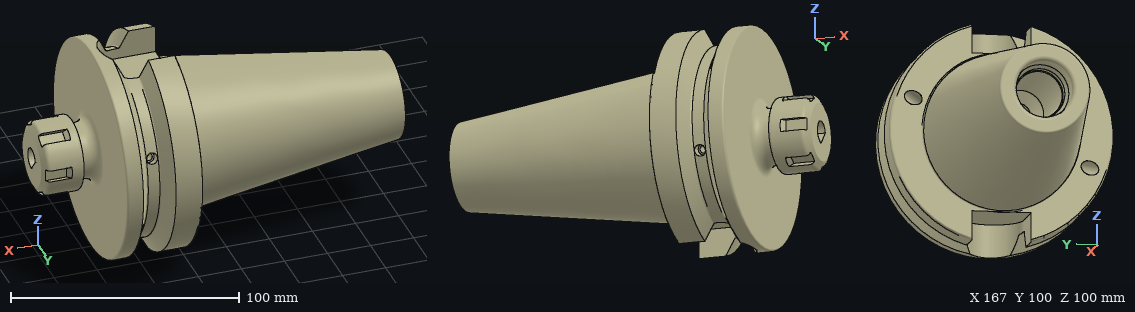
import cadquery as cq
import math

TOTAL_LENGTH = 167.0

TAPER_LENGTH = 102.2
TAPER_SMALL_RADIUS = 20.0
TAPER_LARGE_RADIUS = 34.9
SMALL_END_ROUND = 1.0
LAND_ROUND = 0.7

FLANGE_BACK = 104.7
FLANGE_FRONT = 139.8
FLANGE_DIAMETER = 100.0
FLANGE_RADIUS = FLANGE_DIAMETER / 2
FLANGE_ROUND = 1.0
GROOVE_FLOOR_RADIUS = 42.5
GROOVE_CENTRE = 124.9
GROOVE_FLOOR_WIDTH = 6.3
GROOVE_SIDE_ANGLE = 30.0
GROOVE_CORNER_ROUND = 0.8

KEYWAY_WIDTH = 26.4
KEYWAY_FLOOR = 35.2
KEYWAY_END = 136.0

SPIGOT_RADIUS = 12.5
SPIGOT_ROUND = 5.0
SPIGOT_END = 162.0

MOUTH_ROUND = 1.8
COUNTERBORE_RADIUS = 12.5
COUNTERBORE_DEPTH = 10.4
THREAD_MOUTH_RADIUS = 11.0
THREAD_MOUTH_END = 15.9
STUD_BORE_RADIUS = 10.5
STUD_BORE_DEPTH = 60.1
DRILL_POINT_ANGLE = 118.0
THROUGH_BORE_RADIUS = 5.2

COOLANT_RADIUS = 3.0
COOLANT_ENTRY_RADIUS = 42.0
COOLANT_SLANT = 42.0
COOLANT_TURN = 20.0
PLUG_RADIUS = 2.5
PLUG_DEPTH = 5.0
PLUG_CORE_RADIUS = 1.7

NUT_BACK = 148.1
NUT_RADIUS = 17.0
NUT_BACK_ROUND = 1.5
NUT_NOSE_START = 164.7
NUT_NOSE_ANGLE = 60.0
NUT_NOSE_ROUND = 2.0
NUT_FACE_ROUND = 0.5
NUT_OPENING_RADIUS = 5.0
NUT_FLAT_DISTANCE = 3.0
NUT_FLAT_TURN = -42.0

SLOT_COUNT = 6
SLOT_WIDTH = 5.5
SLOT_FLOOR = 15.0
SLOT_START = 154.0
LONG_SLOT_START = 152.5
LONG_SLOT_TURNS = (60, 120)


def revolve_about_x(points):
    """Solid of revolution about X from (x, radius) points."""
    return cq.Workplane("XZ").polyline(points).close().revolve(360, (0, 0), (1, 0))


def turn_about_x(body, degrees):
    """Turn a body about X; 0 degrees is +Y and 90 degrees is +Z."""
    return body.rotate((0, 0, 0), (1, 0, 0), degrees)


def round_rim(body, x, radius, size):
    """Fillet the circular edge of the given radius that lies at x."""
    tolerance = 0.02
    rims = [
        edge
        for edge in body.edges("%CIRCLE").vals()
        if abs(edge.Center().x - x) < tolerance and abs(edge.radius() - radius) < tolerance
    ]
    return body.newObject(rims).fillet(size)


def make_holder_blank():
    half_floor = GROOVE_FLOOR_WIDTH / 2
    side_run = (FLANGE_RADIUS - GROOVE_FLOOR_RADIUS) * math.tan(math.radians(GROOVE_SIDE_ANGLE))
    blank = revolve_about_x([
        (0, 0),
        (0, TAPER_SMALL_RADIUS),
        (TAPER_LENGTH, TAPER_LARGE_RADIUS),
        (FLANGE_BACK, TAPER_LARGE_RADIUS),
        (FLANGE_BACK, FLANGE_RADIUS),
        (GROOVE_CENTRE - half_floor - side_run, FLANGE_RADIUS),
        (GROOVE_CENTRE - half_floor, GROOVE_FLOOR_RADIUS),
        (GROOVE_CENTRE + half_floor, GROOVE_FLOOR_RADIUS),
        (GROOVE_CENTRE + half_floor + side_run, FLANGE_RADIUS),
        (FLANGE_FRONT, FLANGE_RADIUS),
        (FLANGE_FRONT, SPIGOT_RADIUS),
        (SPIGOT_END, SPIGOT_RADIUS),
        (SPIGOT_END, 0),
    ])
    blank = round_rim(blank, 0, TAPER_SMALL_RADIUS, SMALL_END_ROUND)
    blank = round_rim(blank, FLANGE_BACK, TAPER_LARGE_RADIUS, LAND_ROUND)
    blank = round_rim(blank, FLANGE_FRONT, SPIGOT_RADIUS, SPIGOT_ROUND)
    for face_x in (FLANGE_BACK, FLANGE_FRONT):
        blank = round_rim(blank, face_x, FLANGE_RADIUS, FLANGE_ROUND)
    for side in (-1, 1):
        corner_x = GROOVE_CENTRE + side * half_floor
        blank = round_rim(blank, corner_x, GROOVE_FLOOR_RADIUS, GROOVE_CORNER_ROUND)
    return blank


def make_bore():
    chamfer_end = COUNTERBORE_DEPTH + COUNTERBORE_RADIUS - THREAD_MOUTH_RADIUS
    point_length = (STUD_BORE_RADIUS - THROUGH_BORE_RADIUS) / math.tan(math.radians(DRILL_POINT_ANGLE / 2))
    return revolve_about_x([
        (0, 0),
        (0, COUNTERBORE_RADIUS),
        (COUNTERBORE_DEPTH, COUNTERBORE_RADIUS),
        (chamfer_end, THREAD_MOUTH_RADIUS),
        (THREAD_MOUTH_END, THREAD_MOUTH_RADIUS),
        (THREAD_MOUTH_END, STUD_BORE_RADIUS),
        (STUD_BORE_DEPTH, STUD_BORE_RADIUS),
        (STUD_BORE_DEPTH + point_length, THROUGH_BORE_RADIUS),
        (SPIGOT_END, THROUGH_BORE_RADIUS),
        (SPIGOT_END, 0),
    ])


def make_keyway():
    """Keyway cutter on the +Z side."""
    half_width = KEYWAY_WIDTH / 2
    round_centre = KEYWAY_END - half_width
    return (
        cq.Workplane("XY", origin=(0, 0, KEYWAY_FLOOR))
        .moveTo(FLANGE_BACK, -half_width)
        .lineTo(round_centre, -half_width)
        .threePointArc((KEYWAY_END, 0), (round_centre, half_width))
        .lineTo(FLANGE_BACK, half_width)
        .close()
        .extrude(FLANGE_RADIUS - KEYWAY_FLOOR)
    )


def make_coolant_passage():
    """Slanted hole from the flange back to the axis, plus its plug hole, on the +Y side."""
    slant = math.radians(COOLANT_SLANT)
    inward = cq.Vector(math.cos(slant), -math.sin(slant), 0)
    entry = cq.Vector(FLANGE_BACK, COOLANT_ENTRY_RADIUS, 0)
    overrun = 3 * COOLANT_RADIUS
    length = COOLANT_ENTRY_RADIUS / math.sin(slant)
    slanted = cq.Solid.makeCylinder(COOLANT_RADIUS, length + overrun, entry - inward * overrun, inward)
    flange_back_plane = cq.Workplane("YZ", origin=(FLANGE_BACK, 0, 0))
    keep = flange_back_plane.circle(FLANGE_RADIUS).extrude(SPIGOT_END - FLANGE_BACK)
    slanted = cq.Workplane(slanted).intersect(keep)

    meeting_radius = COOLANT_ENTRY_RADIUS - (GROOVE_CENTRE - FLANGE_BACK) * math.tan(slant)
    plug = cq.Workplane("XZ", origin=(GROOVE_CENTRE, GROOVE_FLOOR_RADIUS, 0))
    core = plug.circle(PLUG_CORE_RADIUS).extrude(GROOVE_FLOOR_RADIUS - meeting_radius)
    return slanted.union(core).union(plug.circle(PLUG_RADIUS).extrude(PLUG_DEPTH))


def make_holder():
    holder = make_holder_blank().cut(make_bore())
    holder = round_rim(holder, 0, COUNTERBORE_RADIUS, MOUTH_ROUND)
    for turn in (0, 180):
        holder = holder.cut(turn_about_x(make_keyway(), turn))
        holder = holder.cut(turn_about_x(make_coolant_passage(), COOLANT_TURN + turn))
    return holder


def make_spanner_slot(start):
    """Slot cutter on the +Y side."""
    depth = NUT_RADIUS - SLOT_FLOOR
    return (
        cq.Workplane("XY", origin=(0, 0, -SLOT_WIDTH / 2))
        .polyline([
            (start, NUT_RADIUS),
            (start + depth, SLOT_FLOOR),
            (TOTAL_LENGTH, SLOT_FLOOR),
            (TOTAL_LENGTH, NUT_RADIUS),
        ])
        .close()
        .extrude(SLOT_WIDTH)
    )


def make_nut_opening():
    """Round opening with one flat side."""
    half_flat = math.sqrt(NUT_OPENING_RADIUS**2 - NUT_FLAT_DISTANCE**2)
    opening = (
        cq.Workplane("YZ", origin=(SPIGOT_END, 0, 0))
        .moveTo(NUT_FLAT_DISTANCE, half_flat)
        .threePointArc((-NUT_OPENING_RADIUS, 0), (NUT_FLAT_DISTANCE, -half_flat))
        .close()
        .extrude(TOTAL_LENGTH - SPIGOT_END)
    )
    return turn_about_x(opening, NUT_FLAT_TURN)


def make_nut():
    nose_drop = (TOTAL_LENGTH - NUT_NOSE_START) * math.tan(math.radians(NUT_NOSE_ANGLE))
    face_radius = NUT_RADIUS - nose_drop
    nut = revolve_about_x([
        (NUT_BACK, SPIGOT_RADIUS),
        (NUT_BACK, NUT_RADIUS),
        (NUT_NOSE_START, NUT_RADIUS),
        (TOTAL_LENGTH, face_radius),
        (TOTAL_LENGTH, 0),
        (SPIGOT_END, 0),
        (SPIGOT_END, SPIGOT_RADIUS),
    ])
    nut = round_rim(nut, NUT_BACK, NUT_RADIUS, NUT_BACK_ROUND)
    nut = round_rim(nut, NUT_NOSE_START, NUT_RADIUS, NUT_NOSE_ROUND)
    nut = round_rim(nut, TOTAL_LENGTH, face_radius, NUT_FACE_ROUND)
    nut = nut.cut(make_nut_opening())
    for turn in range(0, 360, 360 // SLOT_COUNT):
        start = LONG_SLOT_START if turn in LONG_SLOT_TURNS else SLOT_START
        nut = nut.cut(turn_about_x(make_spanner_slot(start), turn))
    return nut


holder = make_holder()
nut = make_nut()
result = cq.Compound.makeCompound([holder.val(), nut.val()])